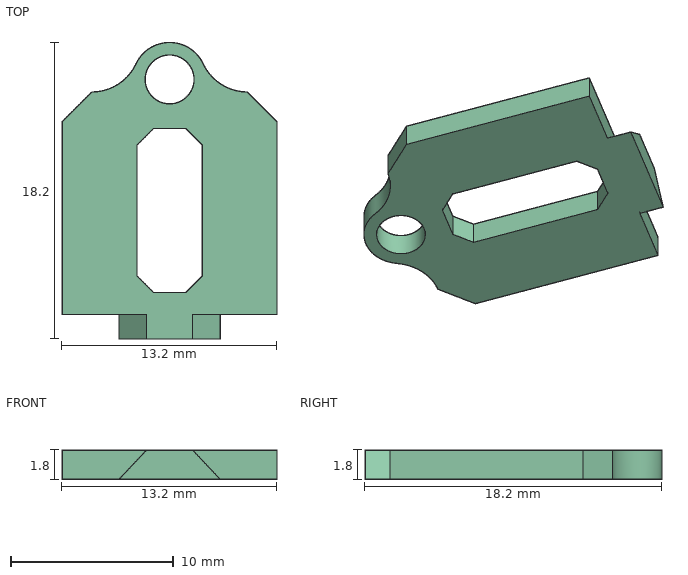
import cadquery as cq
import math

length = 18.24
width = 13.2
thickness = 1.8
shoulder_y = 15.2
corner_chamfer = 1.82

lug_radius = 2.28
hole_diameter = 3.0
blend_radius = 3.0
lug_y = length - lug_radius

window_width = 4.0
window_length = 10.05
window_start_y = 2.88
window_chamfer = 1.0

tab_length = 1.51
tab_bottom_width = 6.24
tab_top_width = 2.83


def make_plate():
    """Plate outline with chamfered shoulders and the blended lug."""
    half_width = width / 2
    reach = lug_radius + blend_radius
    blend_y = shoulder_y + blend_radius
    blend_x = math.sqrt(reach**2 - (blend_y - lug_y) ** 2)

    tangent_x = blend_x * lug_radius / reach
    tangent_y = lug_y + (blend_y - lug_y) * lug_radius / reach

    start_angle = -math.pi / 2
    end_angle = math.atan2(tangent_y - blend_y, blend_x - tangent_x)
    middle_angle = (start_angle + end_angle) / 2
    middle_x = blend_x - blend_radius * math.cos(middle_angle)
    middle_y = blend_y + blend_radius * math.sin(middle_angle)

    return (
        cq.Workplane("XY")
        .moveTo(-half_width, tab_length)
        .lineTo(half_width, tab_length)
        .lineTo(half_width, shoulder_y - corner_chamfer)
        .lineTo(blend_x, shoulder_y)
        .threePointArc((middle_x, middle_y), (tangent_x, tangent_y))
        .threePointArc((0, length), (-tangent_x, tangent_y))
        .threePointArc((-middle_x, middle_y), (-blend_x, shoulder_y))
        .lineTo(-half_width, shoulder_y - corner_chamfer)
        .close()
        .extrude(thickness)
    )


def make_tab():
    """Dovetail tab, wider at the underside than at the top."""
    return (
        cq.Workplane("XZ")
        .moveTo(-tab_bottom_width / 2, 0)
        .lineTo(tab_bottom_width / 2, 0)
        .lineTo(tab_top_width / 2, thickness)
        .lineTo(-tab_top_width / 2, thickness)
        .close()
        .extrude(-tab_length)
    )


def make_window():
    """Through window with chamfered corners."""
    return (
        cq.Workplane("XY")
        .center(0, window_start_y + window_length / 2)
        .rect(window_width, window_length)
        .extrude(thickness)
        .edges("|Z")
        .chamfer(window_chamfer)
    )


def make_hole():
    """Through hole concentric with the lug."""
    return cq.Workplane("XY").center(0, lug_y).circle(hole_diameter / 2).extrude(thickness)


result = make_plate().union(make_tab()).cut(make_window()).cut(make_hole())